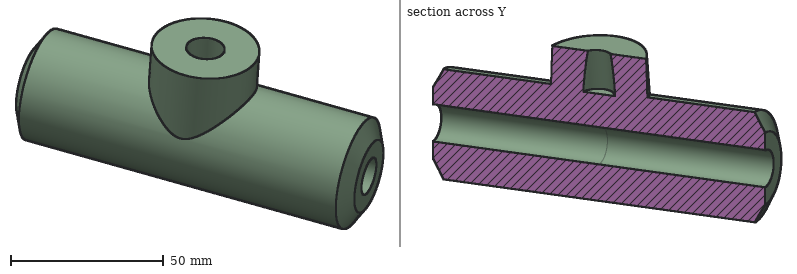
import cadquery as cq
import math

tube_length = 120.6
tube_diameter = 38.1
end_face_diameter = 24.9
chamfer_angle = 30.0

branch_diameter = 35.6
branch_reach = 31.9
branch_tilt = 8.8

bore_diameter = 12.7
branch_bore_depth = 14.1

tube_radius = tube_diameter / 2
end_face_radius = end_face_diameter / 2
chamfer_length = (tube_radius - end_face_radius) * math.tan(math.radians(chamfer_angle))


def make_tube():
    """Solid of revolution about X with a conical chamfer at each end."""
    half_length = tube_length / 2
    shoulder = half_length - chamfer_length
    return (
        cq.Workplane("XY")
        .moveTo(-half_length, 0)
        .lineTo(-half_length, end_face_radius)
        .lineTo(-shoulder, tube_radius)
        .lineTo(shoulder, tube_radius)
        .lineTo(half_length, end_face_radius)
        .lineTo(half_length, 0)
        .close()
        .revolve(360, (0, 0, 0), (1, 0, 0))
    )


def branch_cylinder(diameter, length):
    """Cylinder reaching the given length inward from the tilted end face of the branch."""
    return (
        cq.Workplane("XY")
        .workplane(offset=branch_reach)
        .circle(diameter / 2)
        .extrude(-length)
        .rotate((0, 0, 0), (1, 0, 0), -branch_tilt)
    )


tube_bore = cq.Workplane("YZ").circle(bore_diameter / 2).extrude(tube_length / 2, both=True)

result = (
    make_tube()
    .union(branch_cylinder(branch_diameter, branch_reach))
    .cut(tube_bore)
    .cut(branch_cylinder(bore_diameter, branch_bore_depth))
)